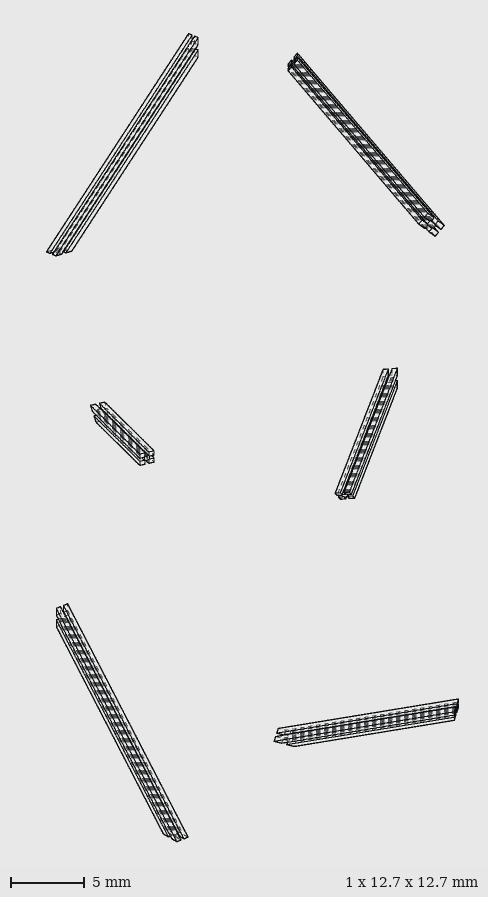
import cadquery as cq
import math

LENGTH = 12.73
BAR_WIDTH = 1.0
GROOVE_WIDTH = 0.25
GROOVE_DEPTH = 0.32

slope_factor = math.sqrt(2)


def sloping_bar(width, lower_edge, upper_edge):
    """Mitred bar, with its edges given as depths below the upper sloping face."""
    lower = lower_edge * slope_factor
    upper = upper_edge * slope_factor
    outline = [
        (upper, 0),
        (lower, 0),
        (LENGTH, LENGTH - lower),
        (LENGTH, LENGTH - upper),
    ]
    return cq.Workplane("YZ").polyline(outline).close().extrude(width / 2, both=True)


def build_bar():
    bar = sloping_bar(BAR_WIDTH, BAR_WIDTH, 0)

    bar = bar.cut(sloping_bar(GROOVE_WIDTH, GROOVE_DEPTH, 0))
    bar = bar.cut(sloping_bar(GROOVE_WIDTH, BAR_WIDTH, BAR_WIDTH - GROOVE_DEPTH))

    groove_top = (BAR_WIDTH - GROOVE_WIDTH) / 2
    groove = sloping_bar(GROOVE_DEPTH, groove_top + GROOVE_WIDTH, groove_top)
    side_offset = (BAR_WIDTH - GROOVE_DEPTH) / 2
    for side in (-1, 1):
        bar = bar.cut(groove.translate((side * side_offset, 0, 0)))
    return bar


result = build_bar()